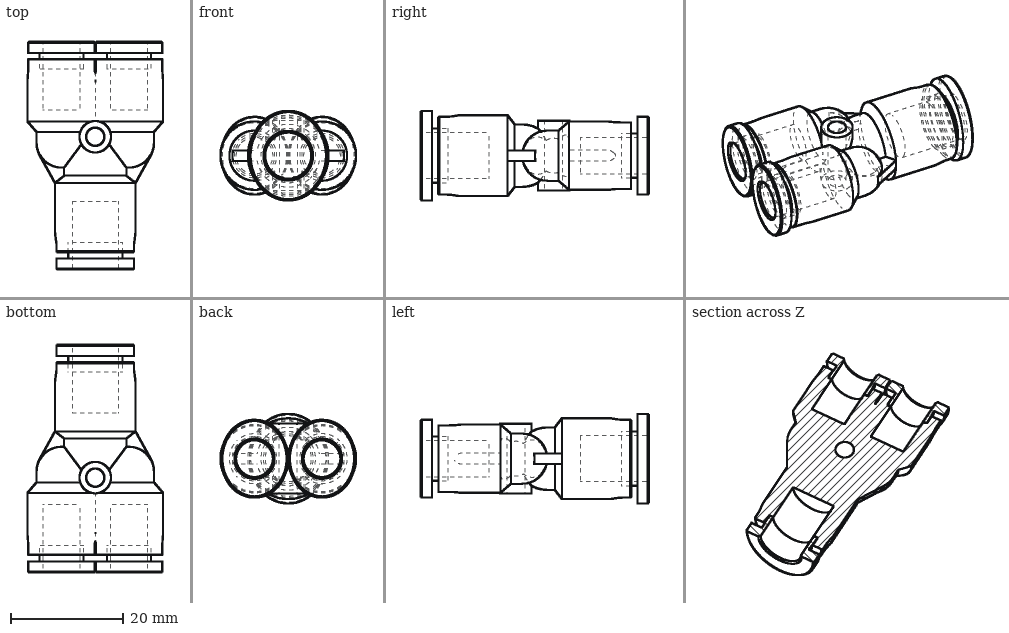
import cadquery as cq
import math

HALF_LENGTH = 20.3
BRANCH_X = 6.0

MAIN_RADIUS = 14.4 / 2
MAIN_RIM_RADIUS = 13.9 / 2
MAIN_NECK_RADIUS = 5.6
MAIN_RIM_END = -17.2
MAIN_RIM_CHAMFER = 0.25
MAIN_TAPER_END = -15.65
MAIN_TAPER_START = -13.6
MAIN_SHOULDER = -4.85
MAIN_NECK_START = -3.57
MAIN_DOME_CENTRE = -2.25

BRANCH_RADIUS = 6.1
BRANCH_RIM_RADIUS = 11.9 / 2
BRANCH_NECK_RADIUS = 4.45
BRANCH_RIM_END = 17.17
BRANCH_RIM_CHAMFER = 0.1
BRANCH_TAPER_END = 15.25
BRANCH_TAPER_START = 13.25
BRANCH_SHOULDER = 6.1
BRANCH_NECK_START = 4.22
BRANCH_DOME_CENTRE = 2.25

BOSS_Y = 3.35
BOSS_DIAMETER = 5.6
BOSS_HEIGHT = 12.45
BOSS_HOLE_DIAMETER = 3.2

WEB_THICKNESS = 1.9

FLANGE_THICKNESS = 2.05
FLANGE_CHAMFER = 0.25
BORE_CHAMFER = 0.32
COLLAR_LENGTH = 4.87
SOCKET_FLOOR = 8.1
MAIN_FLANGE_WIDTH = 13.9
MAIN_FLANGE_HEIGHT = 16.0
MAIN_SLEEVE_DIAMETER = 9.7
MAIN_BORE_DIAMETER = 8.2
BRANCH_FLANGE_WIDTH = 11.9
BRANCH_FLANGE_HEIGHT = 13.9
BRANCH_SLEEVE_DIAMETER = 7.9
BRANCH_BORE_DIAMETER = 6.55


def port_plane(x, outward):
    """Plane on a port's outermost face, its normal pointing into the port."""
    return cq.Plane(origin=(x, outward * HALF_LENGTH, 0), xDir=(1, 0, 0), normal=(0, -outward, 0))


def port_bar(x, outward, diameter, depth):
    """Round bar on a port's axis, reaching depth inward from the port's outermost face."""
    return cq.Workplane(port_plane(x, outward)).circle(diameter / 2).extrude(depth)


def port_shell(rim_end, rim_chamfer, taper_end, taper_start, shoulder, neck_start, dome_centre,
               rim_radius, body_radius, neck_radius):
    """Solid of revolution about Y: stepped barrel, shoulder cone, neck and round dome."""
    outward = math.copysign(1, rim_end)
    dome_diagonal = neck_radius * math.sqrt(0.5)
    return (
        cq.Workplane("XY")
        .moveTo(0, rim_end)
        .lineTo(rim_radius - rim_chamfer, rim_end)
        .lineTo(rim_radius, rim_end - outward * rim_chamfer)
        .lineTo(rim_radius, taper_end)
        .lineTo(body_radius, taper_start)
        .lineTo(body_radius, shoulder)
        .lineTo(neck_radius, neck_start)
        .lineTo(neck_radius, dome_centre)
        .threePointArc((dome_diagonal, dome_centre - outward * dome_diagonal),
                       (0, dome_centre - outward * neck_radius))
        .close()
        .revolve(360, (0, 0, 0), (0, 1, 0))
    )


def web():
    """Flat web whose sloping sides run from the main shoulder tangent to the branch domes."""
    run_x = BRANCH_X - MAIN_RADIUS
    run_y = BRANCH_DOME_CENTRE - MAIN_SHOULDER
    centre_distance = math.hypot(run_x, run_y)
    centre_angle = math.atan2(run_y, run_x)
    side_angle = centre_angle - math.asin(BRANCH_NECK_RADIUS / centre_distance)
    side_length = math.sqrt(centre_distance**2 - BRANCH_NECK_RADIUS**2)
    tangent_x = MAIN_RADIUS + side_length * math.cos(side_angle)
    tangent_y = MAIN_SHOULDER + side_length * math.sin(side_angle)
    right_side = [(MAIN_RADIUS, MAIN_SHOULDER), (tangent_x, tangent_y), (BRANCH_X, BRANCH_DOME_CENTRE)]
    left_side = [(-x, y) for x, y in reversed(right_side)]
    return (
        cq.Workplane("XY")
        .polyline(right_side + left_side)
        .close()
        .extrude(WEB_THICKNESS / 2, both=True)
    )


def boss_bar(diameter):
    """Upright round bar on the boss axis."""
    return cq.Workplane("XY").center(0, BOSS_Y).circle(diameter / 2).extrude(BOSS_HEIGHT / 2, both=True)


def port_cavity(x, outward, sleeve_diameter, bore_diameter):
    """Counterbore for the collar sleeve, followed by a tube socket flush with the collar bore."""
    counterbore = port_bar(x, outward, sleeve_diameter, COLLAR_LENGTH)
    socket = port_bar(x, outward, bore_diameter, HALF_LENGTH - SOCKET_FLOOR)
    return counterbore.union(socket)


def make_housing():
    """Y-shaped housing with three blind sockets and a through-hole in its boss."""
    body = port_shell(MAIN_RIM_END, MAIN_RIM_CHAMFER, MAIN_TAPER_END, MAIN_TAPER_START, MAIN_SHOULDER,
                      MAIN_NECK_START, MAIN_DOME_CENTRE, MAIN_RIM_RADIUS, MAIN_RADIUS, MAIN_NECK_RADIUS)
    branch = port_shell(BRANCH_RIM_END, BRANCH_RIM_CHAMFER, BRANCH_TAPER_END, BRANCH_TAPER_START,
                        BRANCH_SHOULDER, BRANCH_NECK_START, BRANCH_DOME_CENTRE, BRANCH_RIM_RADIUS,
                        BRANCH_RADIUS, BRANCH_NECK_RADIUS)
    for x in (-BRANCH_X, BRANCH_X):
        body = body.union(branch.translate((x, 0, 0)))
    body = body.union(web()).union(boss_bar(BOSS_DIAMETER))
    body = body.cut(boss_bar(BOSS_HOLE_DIAMETER))
    body = body.cut(port_cavity(0, -1, MAIN_SLEEVE_DIAMETER, MAIN_BORE_DIAMETER))
    for x in (-BRANCH_X, BRANCH_X):
        body = body.cut(port_cavity(x, 1, BRANCH_SLEEVE_DIAMETER, BRANCH_BORE_DIAMETER))
    return body.solids()


def make_collar(x, outward, flange_width, flange_height, sleeve_diameter, bore_diameter):
    """Release collar at a port; outward is the Y direction (+1 or -1) that the port faces."""
    outer_face = port_plane(x, outward)
    flange = (
        cq.Workplane(outer_face)
        .ellipse(flange_width / 2, flange_height / 2)
        .extrude(FLANGE_THICKNESS)
        .faces(">Y" if outward > 0 else "<Y")
        .chamfer(FLANGE_CHAMFER)
    )
    sleeve = port_bar(x, outward, sleeve_diameter, COLLAR_LENGTH)
    bore = port_bar(x, outward, bore_diameter, COLLAR_LENGTH)
    mouth = (
        cq.Workplane(outer_face)
        .circle(bore_diameter / 2 + BORE_CHAMFER)
        .workplane(offset=BORE_CHAMFER)
        .circle(bore_diameter / 2)
        .loft(ruled=True)
    )
    return flange.union(sleeve).cut(bore).cut(mouth).solids()


housing = make_housing()

main_collar = make_collar(0, -1, MAIN_FLANGE_WIDTH, MAIN_FLANGE_HEIGHT,
                          MAIN_SLEEVE_DIAMETER, MAIN_BORE_DIAMETER)

branch_collars = [
    make_collar(x, 1, BRANCH_FLANGE_WIDTH, BRANCH_FLANGE_HEIGHT, BRANCH_SLEEVE_DIAMETER, BRANCH_BORE_DIAMETER)
    for x in (-BRANCH_X, BRANCH_X)
]

result = cq.Compound.makeCompound(
    [housing.val(), main_collar.val(), *[collar.val() for collar in branch_collars]]
)